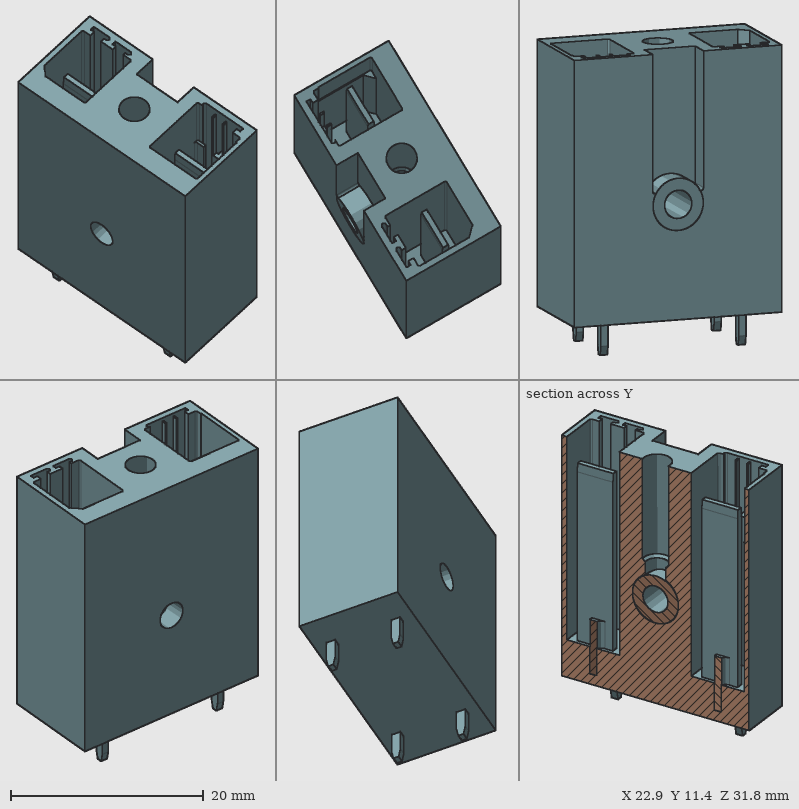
import cadquery as cq

WIDTH = 22.85
DEPTH = 11.4
TOTAL_HEIGHT = 31.8
PIN_LENGTH = 3.5
HEIGHT = TOTAL_HEIGHT - PIN_LENGTH
BACK = DEPTH / 2
FRONT_WALL = 2.45
INNER_FRONT = FRONT_WALL - BACK

CONTACT_X = 7.6
SHEET = 0.8
BLADE_WIDTH = 4.35
BLADE_BACK = 0.38
BLADE_FRONT = BLADE_BACK - SHEET
BLADE_TOP = HEIGHT - 3.05
BLADE_LEAD_IN = 0.1
BLADE_LEAD_IN_HEIGHT = 0.95
BEND_RADIUS = 0.75
LEG_TOP = 7.63
PIN_Y = 3.75
PIN_WIDTH = 1.02
TIP_WIDTH = 0.6
TAPER_LENGTH = 1.02
BAR_LENGTH = 2 * PIN_Y + PIN_WIDTH
BAR_BOTTOM = 1.27
BAR_TOP = 3.18

FLOOR = 4.45
INNER_X = 4.4
OUTER_X = 10.78
OUTER_SHOULDER_Y = 3.82
INNER_SHOULDER_Y = 4.13
LIP_Y = 4.45
GROOVE_Y = 4.93
OUTER_GROOVE = (7.92, 10.2)
INNER_GROOVE = (4.95, 7.25)
RIB_HEAD = (6.77, 8.4)
RIB_FRONT_Y = 3.95
OUTER_OPENING_X = 9.73
INNER_OPENING_X = 5.5
KEY_CHAMFER = 1.0
CORNER_RADIUS = 0.2
GROOVE_RADIUS = 0.22

KEY_DEPTH = 6.35
KEY_OUTER_X = 10.88
KEY_BACK_Y = 3.12
RIB_CHEEK = 0.2

SLEEVE_Z = 12.25
SLEEVE_RADIUS = 2.77
BORE_RADIUS = 1.5

NOTCH_HALF_WIDTH = 2.8
NOTCH_DEPTH = 2.58
NOTCH_ROUND = 0.32
NOTCH_ROUND_RISE = 1.6
NOTCH_FLOOR = SLEEVE_Z + NOTCH_ROUND_RISE

SHAFT_Y = -0.5
SHAFT_RADIUS = 1.6
SHAFT_END_RADIUS = 1.27
SHAFT_CONE_HEIGHT = SHAFT_RADIUS - SHAFT_END_RADIUS
SHAFT_ROOF = 1.27
SHAFT_CONE_END = SLEEVE_Z + SLEEVE_RADIUS + SHAFT_ROOF


def box(x_range, y_range, z_range):
    """Box between the given limits."""
    size = [high - low for low, high in (x_range, y_range, z_range)]
    low_corner = (x_range[0], y_range[0], z_range[0])
    return cq.Workplane("XY").box(*size, centered=False).translate(low_corner)


def along_y(radius, y_start, y_end, x, z):
    """Cylinder parallel to Y."""
    plane = cq.Workplane("XZ", origin=(x, y_end, z))
    return plane.circle(radius).extrude(y_end - y_start)


def cavity():
    """Plug cavity on the +X side, with two undercut grooves and a T-shaped rib."""
    outline = [
        (INNER_X, INNER_FRONT),
        (OUTER_X - KEY_CHAMFER, INNER_FRONT),
        (OUTER_X, INNER_FRONT + KEY_CHAMFER),
        (OUTER_X, OUTER_SHOULDER_Y),
        (OUTER_OPENING_X, OUTER_SHOULDER_Y),
        (OUTER_OPENING_X, LIP_Y),
        (OUTER_GROOVE[1], LIP_Y),
        (OUTER_GROOVE[1], GROOVE_Y),
        (OUTER_GROOVE[0], GROOVE_Y),
        (OUTER_GROOVE[0], LIP_Y),
        (RIB_HEAD[1], LIP_Y),
        (RIB_HEAD[1], RIB_FRONT_Y),
        (RIB_HEAD[0], RIB_FRONT_Y),
        (RIB_HEAD[0], LIP_Y),
        (INNER_GROOVE[1], LIP_Y),
        (INNER_GROOVE[1], GROOVE_Y),
        (INNER_GROOVE[0], GROOVE_Y),
        (INNER_GROOVE[0], LIP_Y),
        (INNER_OPENING_X, LIP_Y),
        (INNER_OPENING_X, INNER_SHOULDER_Y),
        (INNER_X, INNER_SHOULDER_Y),
    ]
    solid = cq.Workplane("XY").workplane(offset=FLOOR).polyline(outline).close().extrude(HEIGHT - FLOOR)
    mid_z = (FLOOR + HEIGHT) / 2
    rounded_corners = [
        (INNER_X, INNER_FRONT, CORNER_RADIUS),
        (INNER_X, INNER_SHOULDER_Y, CORNER_RADIUS),
        (OUTER_X, OUTER_SHOULDER_Y, CORNER_RADIUS),
        (INNER_GROOVE[0], GROOVE_Y, GROOVE_RADIUS),
        (INNER_GROOVE[0], LIP_Y, GROOVE_RADIUS),
        (OUTER_GROOVE[0], GROOVE_Y, GROOVE_RADIUS),
        (OUTER_GROOVE[0], LIP_Y, GROOVE_RADIUS),
    ]
    for x, y, radius in rounded_corners:
        solid = solid.edges(cq.NearestToPointSelector((x, y, mid_z))).fillet(radius)
    return solid


def key_recess():
    """Wider mouth of the +X cavity, which also hollows the top of its rib."""
    z_range = (HEIGHT - KEY_DEPTH, HEIGHT)
    wall = box((OUTER_X - KEY_CHAMFER, KEY_OUTER_X), (INNER_FRONT, KEY_BACK_Y), z_range)
    wall = wall.edges("|Z and >X and <Y").fillet(CORNER_RADIUS)
    shoulder = box((INNER_X, INNER_OPENING_X), (INNER_FRONT, LIP_Y), z_range)
    shoulder = shoulder.edges("|Z and <X").fillet(CORNER_RADIUS)
    head_x = (RIB_HEAD[0] + RIB_CHEEK, RIB_HEAD[1] - RIB_CHEEK)
    rib_head = box(head_x, (RIB_FRONT_Y, LIP_Y), z_range)
    stem_x = (INNER_GROOVE[1], OUTER_GROOVE[0] + GROOVE_RADIUS)
    rib_stem = box(stem_x, (LIP_Y, GROOVE_Y), z_range)
    return wall.union(shoulder).union(rib_head).union(rib_stem)


def back_notch():
    """Notch in the back face, rounded where its walls meet the sleeve."""
    y_range = (BACK - NOTCH_DEPTH, BACK)
    notch = box((-NOTCH_HALF_WIDTH, NOTCH_HALF_WIDTH), y_range, (NOTCH_FLOOR, HEIGHT))
    for side in (-1, 1):
        round_x = side * (NOTCH_HALF_WIDTH - NOTCH_ROUND)
        notch = notch.union(along_y(NOTCH_ROUND, *y_range, round_x, NOTCH_FLOOR))
    return notch


def vertical_shaft():
    """Stepped hole from the top face down to the sleeve, with a conical step."""
    profile = [
        (0, SLEEVE_Z),
        (SHAFT_END_RADIUS, SLEEVE_Z),
        (SHAFT_END_RADIUS, SHAFT_CONE_END),
        (SHAFT_RADIUS, SHAFT_CONE_END + SHAFT_CONE_HEIGHT),
        (SHAFT_RADIUS, HEIGHT),
        (0, HEIGHT),
    ]
    return cq.Workplane("XZ", origin=(0, SHAFT_Y, 0)).polyline(profile).close().revolve()


def make_sleeve():
    """Tube from the front wall to the back face."""
    tube = along_y(SLEEVE_RADIUS, INNER_FRONT, BACK, 0, SLEEVE_Z)
    return tube.cut(along_y(BORE_RADIUS, INNER_FRONT, BACK, 0, SLEEVE_Z))


def pin(y):
    """Solder pin that narrows along Y towards its tip."""
    half = PIN_WIDTH / 2
    half_tip = TIP_WIDTH / 2
    outline = [
        (y - half, BAR_BOTTOM),
        (y - half, TAPER_LENGTH - PIN_LENGTH),
        (y - half_tip, -PIN_LENGTH),
        (y + half_tip, -PIN_LENGTH),
        (y + half, TAPER_LENGTH - PIN_LENGTH),
        (y + half, BAR_BOTTOM),
    ]
    return cq.Workplane("YZ").polyline(outline).close().extrude(SHEET / 2, both=True)


def blade():
    """Upright blade whose top end is slightly thinned on both faces."""
    lead_in_start = BLADE_TOP - BLADE_LEAD_IN_HEIGHT
    outline = [
        (BLADE_FRONT, FLOOR),
        (BLADE_FRONT, lead_in_start),
        (BLADE_FRONT + BLADE_LEAD_IN, BLADE_TOP),
        (BLADE_BACK - BLADE_LEAD_IN, BLADE_TOP),
        (BLADE_BACK, lead_in_start),
        (BLADE_BACK, FLOOR),
    ]
    return cq.Workplane("YZ").polyline(outline).close().extrude(BLADE_WIDTH / 2, both=True)


def make_contact(x):
    """Blade contact: upright blade, bent leg, base bar under the floor and two pins."""
    half_sheet = SHEET / 2
    leg = (
        cq.Workplane("XY", origin=(0, 0, FLOOR))
        .moveTo(-half_sheet, BLADE_FRONT)
        .lineTo(-half_sheet, INNER_FRONT)
        .lineTo(half_sheet, INNER_FRONT)
        .lineTo(half_sheet, BLADE_FRONT - BEND_RADIUS)
        .radiusArc((half_sheet + BEND_RADIUS, BLADE_FRONT), BEND_RADIUS)
        .close()
        .extrude(LEG_TOP - FLOOR)
    )
    foot = box((-half_sheet, half_sheet), (INNER_FRONT, BLADE_BACK), (BAR_TOP, FLOOR))
    bar = box((-half_sheet, half_sheet), (-BAR_LENGTH / 2, BAR_LENGTH / 2), (BAR_BOTTOM, BAR_TOP))
    contact = blade().union(leg).union(foot).union(bar)
    for y in (-PIN_Y, PIN_Y):
        contact = contact.union(pin(y))
    return contact.translate((x, 0, 0))


def make_housing(contacts):
    """Block with the cavities, notch and holes, and seats that match the other bodies."""
    block = box((-WIDTH / 2, WIDTH / 2), (-BACK, BACK), (0, HEIGHT))
    block = block.cut(cavity()).cut(cavity().mirror("YZ")).cut(key_recess())
    block = block.cut(back_notch()).cut(vertical_shaft())
    block = block.cut(along_y(SLEEVE_RADIUS, INNER_FRONT, BACK, 0, SLEEVE_Z))
    block = block.cut(along_y(BORE_RADIUS, -BACK, INNER_FRONT, 0, SLEEVE_Z))
    for contact in contacts:
        block = block.cut(contact)
    return block


contacts = [make_contact(x) for x in (-CONTACT_X, CONTACT_X)]
sleeve = make_sleeve()
housing = make_housing(contacts)

result = cq.Compound.makeCompound([housing.val(), sleeve.val(), *[contact.val() for contact in contacts]])